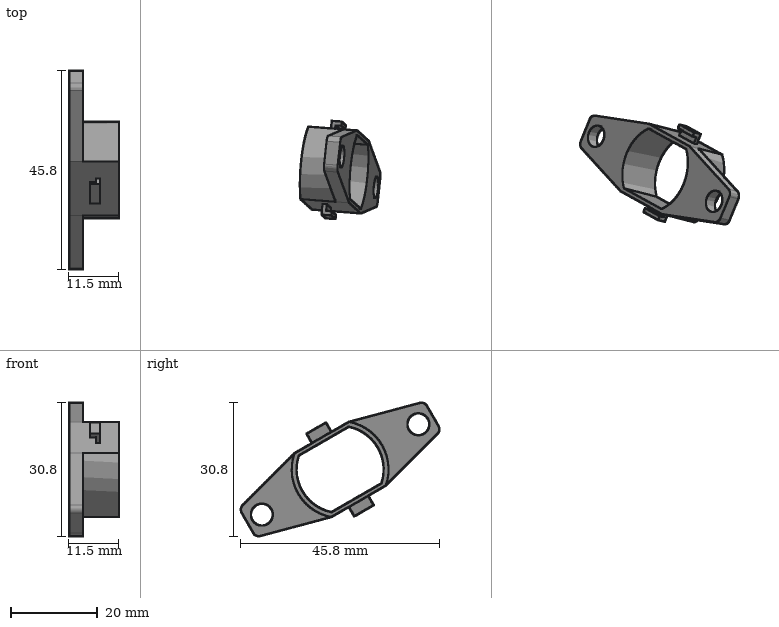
import cadquery as cq
import math

total_depth = 11.5
flange_thickness = 3.2
tilt_angle = 30.0

bore_radius = 10.0
bore_flat_width = 15.0
flat_wall = 1.0
sleeve_radius = 11.15

flange_length = 49.28
flange_end_width = 7.65
flange_corner_radius = 1.5
screw_hole_diameter = 4.98
screw_hole_spacing = 41.6

hook_width = 5.2
hook_height = 2.5
hook_back = 7.15
hook_leg_thickness = 1.0
hook_head_thickness = 1.0
hook_overhang = 1.35

outer_flat_width = bore_flat_width + 2 * flat_wall
flat_half_width = outer_flat_width / 2
flat_half_length = math.sqrt(sleeve_radius**2 - flat_half_width**2)


def flattened_disc(radius, flat_width, depth):
    """Disc cut by two parallel flats, extruded from the mounting plane."""
    disc = cq.Workplane("XY").circle(radius).extrude(depth)
    slab = cq.Workplane("XY").rect(2 * radius, flat_width).extrude(depth)
    return disc.intersect(slab)


def flange():
    """Plate tapering from the sleeve flats to two rounded ends with screw holes."""
    end = flange_length / 2
    end_half_width = flange_end_width / 2
    outline = [
        (flat_half_length, flat_half_width),
        (end, end_half_width),
        (end, -end_half_width),
        (flat_half_length, -flat_half_width),
        (-flat_half_length, -flat_half_width),
        (-end, -end_half_width),
        (-end, end_half_width),
        (-flat_half_length, flat_half_width),
    ]
    plate = cq.Workplane("XY").polyline(outline).close().extrude(flange_thickness)
    plate = plate.faces("<X or >X").edges("|Z").fillet(flange_corner_radius)
    holes = (
        cq.Workplane("XY")
        .pushPoints([(-screw_hole_spacing / 2, 0), (screw_hole_spacing / 2, 0)])
        .circle(screw_hole_diameter / 2)
        .extrude(flange_thickness)
    )
    return plate.cut(holes)


def hook():
    """L-shaped catch on the +Y flat, its head reaching toward the flange."""
    root = flat_half_width - flat_wall / 2
    tip = flat_half_width + hook_height
    head_underside = tip - hook_head_thickness
    leg_front = hook_back - hook_leg_thickness
    head_front = leg_front - hook_overhang
    profile = [
        (root, hook_back),
        (tip, hook_back),
        (tip, head_front),
        (head_underside, head_front),
        (head_underside, leg_front),
        (root, leg_front),
    ]
    return cq.Workplane("YZ").polyline(profile).close().extrude(hook_width / 2, both=True)


def stand_up(body):
    """Turn local X, Y, Z into part Y, Z, X, then tilt the long axis about part X."""
    body = body.rotate((0, 0, 0), (1, 1, 1), 120)
    return body.rotate((0, 0, 0), (1, 0, 0), tilt_angle)


body = flattened_disc(sleeve_radius, outer_flat_width, total_depth).union(flange())
body = body.cut(flattened_disc(bore_radius, bore_flat_width, total_depth))
for turn in (0, 180):
    body = body.union(hook().rotate((0, 0, 0), (0, 0, 1), turn))

result = stand_up(body)